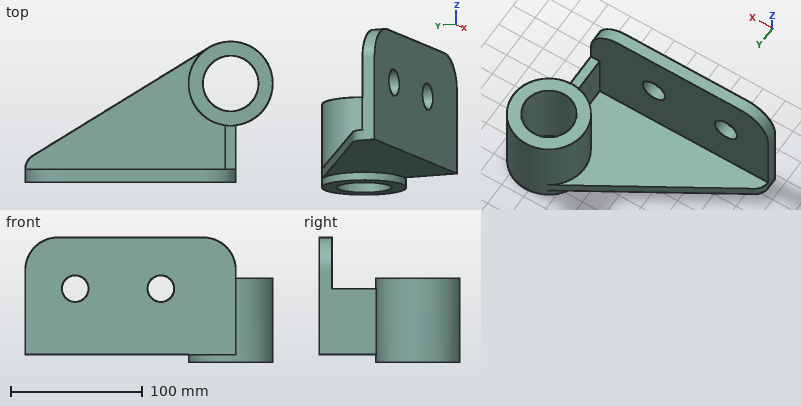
import cadquery as cq
import math

plate_length = 160.0
plate_thickness = 10.0
plate_height = 89.0
plate_corner_radius = 25.0
bolt_hole_diameter = 20.0
bolt_hole_height = 50.0
first_bolt_hole_x = 38.0
bolt_hole_spacing = 65.0

tube_outer_radius = 32.0
tube_bore_diameter = 42.0
tube_height = 64.0
tube_drop = 6.0
tube_x = 156.0
tube_y = 75.0

web_thickness = 8.0
web_corner_radius = 12.0
rib_thickness = 8.0
rib_height = 50.0


def make_plate():
    plate = cq.Workplane("XY").box(plate_length, plate_thickness, plate_height, centered=False)
    return plate.edges("|Y and >Z").fillet(plate_corner_radius)


def make_web():
    """Flat web whose sloping edge is tangent to its rounded corner and to the tube."""
    corner_x = web_corner_radius
    corner_y = plate_thickness
    run = tube_x - corner_x
    rise = tube_y - corner_y
    radius_growth = tube_outer_radius - web_corner_radius
    slope = math.atan2(rise, run) + math.asin(radius_growth / math.hypot(run, rise))

    def on_circle(center_x, center_y, radius, angle):
        return (center_x + radius * math.cos(angle), center_y + radius * math.sin(angle))

    tangent_angle = slope + math.pi / 2
    arc_middle_angle = (math.pi + tangent_angle) / 2
    return (
        cq.Workplane("XY")
        .moveTo(0, corner_y)
        .threePointArc(
            on_circle(corner_x, corner_y, web_corner_radius, arc_middle_angle),
            on_circle(corner_x, corner_y, web_corner_radius, tangent_angle),
        )
        .lineTo(*on_circle(tube_x, tube_y, tube_outer_radius, tangent_angle))
        .lineTo(tube_x, tube_y)
        .lineTo(plate_length, tube_y)
        .lineTo(plate_length, plate_thickness)
        .close()
        .extrude(web_thickness)
    )


def make_rib():
    return (
        cq.Workplane("XY")
        .box(rib_thickness, tube_y - plate_thickness, rib_height, centered=False)
        .translate((plate_length - rib_thickness, plate_thickness, 0))
    )


def tube_cylinder(radius):
    return (
        cq.Workplane("XY", origin=(tube_x, tube_y, -tube_drop))
        .circle(radius)
        .extrude(tube_height)
    )


def make_bolt_holes():
    hole_centers = [
        (first_bolt_hole_x, bolt_hole_height),
        (first_bolt_hole_x + bolt_hole_spacing, bolt_hole_height),
    ]
    return (
        cq.Workplane("XZ")
        .pushPoints(hole_centers)
        .circle(bolt_hole_diameter / 2)
        .extrude(-plate_thickness)
    )


body = make_plate().union(make_web()).union(make_rib()).union(tube_cylinder(tube_outer_radius))
result = body.cut(tube_cylinder(tube_bore_diameter / 2)).cut(make_bolt_holes())